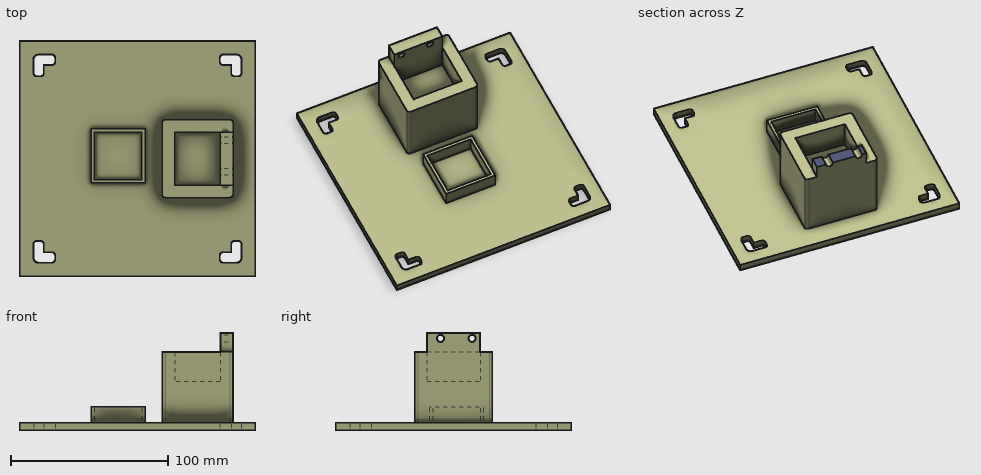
import cadquery as cq

plate_size = 150.0
plate_thickness = 5.0

slot_margin = 8.8
slot_length = 13.6
slot_width = 6.5
slot_corner_radius = 3.0
slot_end_radius = 2.0
pick_tolerance = 0.2

tray_size = 34.5
tray_wall = 2.1
tray_height = 10.0
tray_x = -12.3
tray_y = 1.8

tower_length = 45.3
tower_width = 49.5
tower_height = 45.0
tower_wall = 8.1
tower_corner_radius = 2.1
tower_x = 38.2
tower_pocket_width = 33.9
tower_pocket_depth = 18.6

tab_height = 12.0
tab_hole_diameter = 4.4
tab_hole_drop = 3.5
tab_hole_spacing = 20.1
tab_hole_offset = 1.8


def corner_slot():
    """L-shaped cutter for the -X, -Y corner of the plate."""
    start = slot_margin - plate_size / 2
    end = start + slot_length
    inner = start + slot_width
    outline = [(start, start), (end, start), (end, inner), (inner, inner), (inner, end), (start, end)]
    cutter = cq.Workplane("XY").polyline(outline).close().extrude(plate_thickness)

    def vertical_edge(x, y):
        low_corner = (x - pick_tolerance, y - pick_tolerance, 0)
        high_corner = (x + pick_tolerance, y + pick_tolerance, plate_thickness)
        return cq.selectors.BoxSelector(low_corner, high_corner)

    cutter = cutter.edges(vertical_edge(start, start)).fillet(slot_corner_radius)
    for x, y in [(end, start), (end, inner), (inner, end), (start, end)]:
        cutter = cutter.edges(vertical_edge(x, y)).fillet(slot_end_radius)
    return cutter


def base_plate():
    plate = cq.Workplane("XY").box(plate_size, plate_size, plate_thickness, centered=(True, True, False))
    slot = corner_slot()
    for quarter_turn in range(4):
        plate = plate.cut(slot.rotate((0, 0, 0), (0, 0, 1), 90 * quarter_turn))
    return plate


def tray():
    opening = tray_size - 2 * tray_wall
    return (
        cq.Workplane("XY", origin=(tray_x, tray_y, plate_thickness))
        .rect(tray_size, tray_size)
        .rect(opening, opening)
        .extrude(tray_height)
    )


def tower():
    pocket_length = tower_length - 2 * tower_wall
    base = cq.Workplane("XY", origin=(tower_x, 0, plate_thickness))
    body = base.rect(tower_length, tower_width).extrude(tower_height).edges("|Z").fillet(tower_corner_radius)
    pocket = (
        base.workplane(offset=tower_height - tower_pocket_depth)
        .rect(pocket_length, tower_pocket_width)
        .extrude(tower_pocket_depth)
    )
    return body.cut(pocket)


def screw_tab():
    tab_x = tower_x + (tower_length - tower_wall) / 2
    tab_base = plate_thickness + tower_height
    tab = (
        cq.Workplane("XY", origin=(tab_x, 0, tab_base))
        .rect(tower_wall, tower_pocket_width)
        .extrude(tab_height)
    )
    holes = (
        cq.Workplane("YZ", origin=(tab_x, tab_hole_offset, tab_base + tab_height - tab_hole_drop))
        .rarray(tab_hole_spacing, 1.5, 2, 1)
        .circle(tab_hole_diameter / 2)
        .extrude(tower_wall, both=True)
    )
    return tab.cut(holes)


result = base_plate().union(tray()).union(tower()).union(screw_tab())